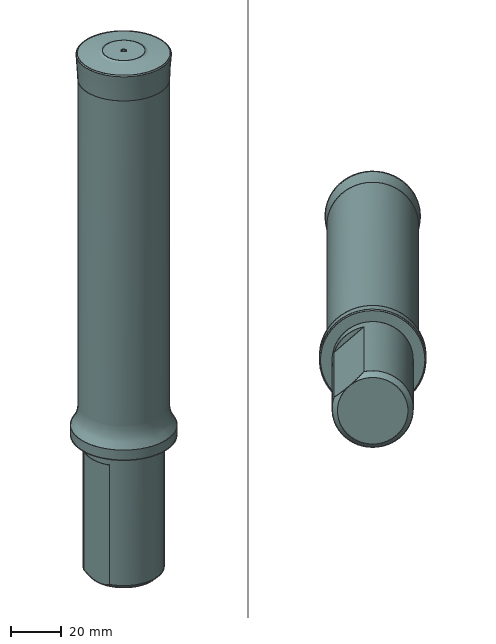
import cadquery as cq
import math

total_length = 233.0
shank_radius = 32.0 / 2
neck_radius = 36.0 / 2
flange_radius = 42.0 / 2
head_radius = 37.5 / 2

flange_bottom_z = 60.5
flange_top_z = 65.5
flare_top_z = 74.3
head_bottom_z = 220.2
head_rim_z = 231.8
flat_top_z = 55.5

shank_chamfer = 2.0
flange_chamfer = 0.5
rim_chamfer = 0.5
flat_depth = 2.0

boss_base_radius = 9.5
boss_top_radius = 8.5
boss_base_z = 232.5
center_hole_radius = 1.05
center_hole_depth = 0.5


def make_shank_body():
    """Clamping shank, flange and long neck, turned as one piece with a clamping flat."""
    flare_width = flange_radius - neck_radius
    flare_height = flare_top_z - flange_top_z
    flare_arc_radius = (flare_width**2 + flare_height**2) / (2 * flare_width)
    half_sweep = math.asin(flare_height / flare_arc_radius) / 2
    flare_middle = (
        neck_radius + flare_arc_radius * (1 - math.cos(half_sweep)),
        flare_top_z - flare_arc_radius * math.sin(half_sweep),
    )
    body = (
        cq.Workplane("XZ")
        .moveTo(0, 0)
        .lineTo(shank_radius - shank_chamfer, 0)
        .lineTo(shank_radius, shank_chamfer)
        .lineTo(shank_radius, flange_bottom_z)
        .lineTo(flange_radius - flange_chamfer, flange_bottom_z)
        .lineTo(flange_radius, flange_bottom_z + flange_chamfer)
        .lineTo(flange_radius, flange_top_z)
        .threePointArc(flare_middle, (neck_radius, flare_top_z))
        .lineTo(neck_radius, head_bottom_z)
        .lineTo(0, head_bottom_z)
        .close()
        .revolve(360, (0, 0), (0, 1))
    )
    flat_cutter = cq.Workplane("XY").box(
        2 * shank_radius, shank_radius, flat_top_z, centered=(True, False, False)
    ).translate((0, flat_depth - 2 * shank_radius, 0))
    return body.cut(flat_cutter)


def make_head():
    """Slightly flared cutting head with a shallow conical end and a low central boss."""
    return (
        cq.Workplane("XZ")
        .moveTo(0, head_bottom_z)
        .lineTo(neck_radius, head_bottom_z)
        .lineTo(head_radius, head_rim_z - rim_chamfer)
        .lineTo(head_radius - rim_chamfer, head_rim_z)
        .lineTo(boss_base_radius, boss_base_z)
        .lineTo(boss_top_radius, total_length)
        .lineTo(center_hole_radius, total_length)
        .lineTo(center_hole_radius, total_length - center_hole_depth)
        .lineTo(0, total_length - center_hole_depth)
        .close()
        .revolve(360, (0, 0), (0, 1))
    )


shank_body = make_shank_body()
head = make_head()
result = cq.Compound.makeCompound([shank_body.val(), head.val()])